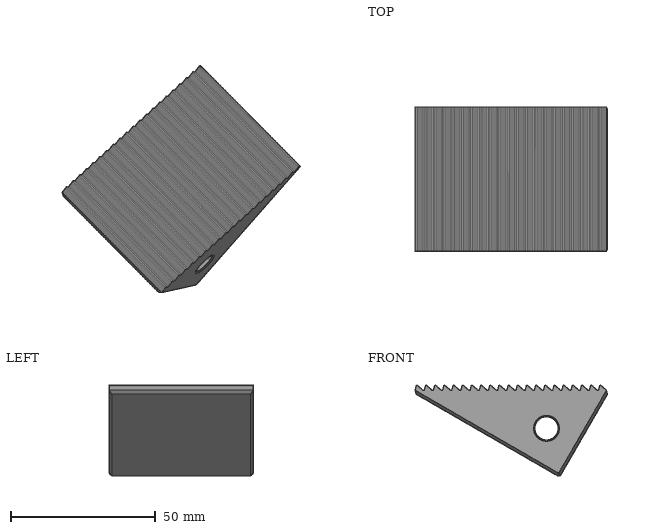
import cadquery as cq
import math

length = 66.65
width = 50.0

shoulder_depth = 1.7
bevel = 1.0
nose_radius = 1.0
bottom_slope = math.radians(30)
bevel_slope = math.radians(75)

tooth_count = 21
pitch = length / tooth_count
face_slope = math.radians(75)
back_slope = math.radians(41.5)
crest_radius = 0.3
root_radius = 0.25

hole_x = 45.5
hole_z = -14.9
hole_diameter = 8.0
hole_bevel = 0.45

corner_angle = math.pi - face_slope - back_slope
corner_lean = (face_slope - back_slope) / 2


def sharp_overshoot(radius):
    """Height of a sharp tooth corner beyond the extreme of its rounding."""
    centre_distance = radius / math.sin(corner_angle / 2)
    return centre_distance * math.cos(corner_lean) - radius


def step(point, distance, angle):
    """Point reached from another by a distance along an angle."""
    return (point[0] + distance * math.cos(angle), point[1] + distance * math.sin(angle))


def corner_arc(corner, radius, inward):
    """Start, middle and end of the rounding of a corner; inward is +1 at roots, -1 at crests."""
    tangent = radius / math.tan(corner_angle / 2)
    middle_distance = radius / math.sin(corner_angle / 2) - radius
    face_point = step(corner, inward * tangent, face_slope)
    back_point = step(corner, inward * tangent, math.pi - back_slope)
    middle = step(corner, inward * middle_distance, math.pi / 2 + corner_lean)
    if inward > 0:
        return back_point, middle, face_point
    return face_point, middle, back_point


def add_arc(outline, arc):
    """Draw a straight line to an arc's start, then the arc."""
    start, middle, end = arc
    return outline.lineTo(*start).threePointArc(middle, end)


crest_z = sharp_overshoot(crest_radius)
crest_x = (crest_z + shoulder_depth) / math.tan(face_slope)
back_end_x = crest_x + (crest_z + shoulder_depth) / math.tan(back_slope)
slope_sum = 1 / math.tan(face_slope) + 1 / math.tan(back_slope)
root_z = crest_z - pitch / slope_sum
root_x = crest_x + (crest_z - root_z) / math.tan(back_slope)

bevel_face = bevel * math.sqrt(2)
left_shoulder = (0.0, -shoulder_depth)
left_bottom = step(left_shoulder, bevel_face, -bevel_slope)
right_shoulder = (back_end_x + (tooth_count - 1) * pitch, -shoulder_depth)
right_bottom = step(right_shoulder, bevel_face, -bevel_slope)
bottom_length = (right_bottom[0] - left_bottom[0]) * math.cos(bottom_slope)
nose = step(left_bottom, bottom_length, -bottom_slope)

outline = cq.Workplane("XZ").moveTo(*left_shoulder)
for tooth in range(tooth_count):
    shift = tooth * pitch
    outline = add_arc(outline, corner_arc((crest_x + shift, crest_z), crest_radius, -1))
    if tooth < tooth_count - 1:
        outline = add_arc(outline, corner_arc((root_x + shift, root_z), root_radius, 1))
outline = outline.lineTo(*right_shoulder).lineTo(*right_bottom).lineTo(*nose).lineTo(*left_bottom)
body = outline.close().extrude(width / 2, both=True)

body = body.edges(cq.selectors.NearestToPointSelector((nose[0], 0, nose[1]))).fillet(nose_radius)

side_edges = body.faces("<Y or >Y").edges(
    cq.selectors.BoxSelector(
        (left_bottom[0], -width, nose[1]), (length, width, left_bottom[1] - bevel)
    )
)
body = side_edges.chamfer(bevel)

hole = cq.Workplane("XZ").center(hole_x, hole_z).circle(hole_diameter / 2).extrude(width, both=True)
body = body.cut(hole)
for selector in ("<Y", ">Y"):
    body = body.faces(selector).edges("%CIRCLE").edges(
        cq.selectors.RadiusNthSelector(-1)
    ).chamfer(hole_bevel)

result = body